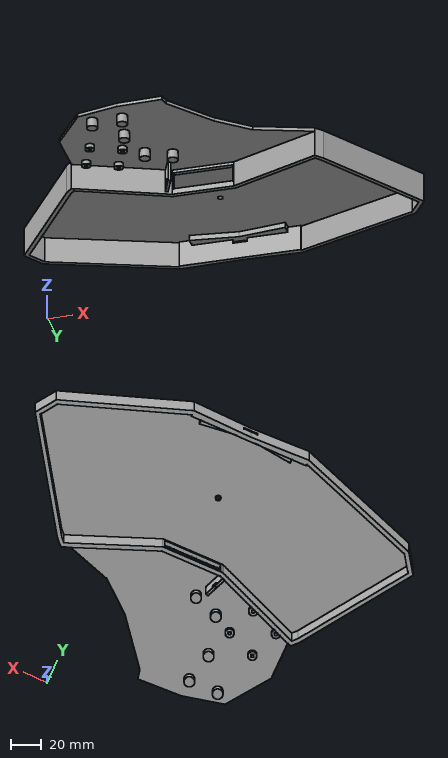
import cadquery as cq
import math

width = 271.8
depth = 187.8
height = 21.0
top_z = height / 2
bottom_z = -height / 2
plate_thickness = 2.7
plate_bottom_z = top_z - plate_thickness
wall_thickness = 3.0

back_corner_y = depth / 2
back_dent_y = 92.7
inner_back_y = back_dent_y - wall_thickness
back_corner = (41.3, back_corner_y)
shoulder_corner = (126.6, 63.5)
side_corner = (width / 2, 50.0)
chamfer_corner = (87.2, -22.3)
front_corner = (82.5, -27.2)
recess_corner = (21.0, -2.5)

overhang_rim = [
    (-front_corner[0], -57.3),
    (-62.2, -86.1),
    (-33.7, -92.7),
    (-3.0, -depth / 2),
    (-1.5, -87.8),
    (22.8, -57.3),
    (44.0, -39.7),
]

pivot_hole_diameter = 3.5
pivot_hole_y = 40.8
window_half_width = 20.0
window_top_z = top_z - 5.0
window_bottom_z = bottom_z + 4.0
port_width = 9.8
port_top_z = top_z - 6.5
port_bottom_z = top_z - 9.0

ledge_half_width = 32.5
ledge_bottom_z = port_top_z
ledge_apex_depth = 2.7
ledge_face_angle = 6.8

wall_angle = math.degrees(
    math.atan2(recess_corner[1] - front_corner[1], front_corner[0] - recess_corner[0])
)

short_boss_diameter = 6.0
short_boss_bottom_z = top_z - 5.7
screw_hole_diameter = 2.1
screw_spacing = 21.5
screw_center = (-58.5, -33.7)

tall_boss_diameter = 7.0
tall_boss_bottom_z = top_z - 9.0
tall_boss_centers = [
    (-54.0, -80.0),
    (-38.0, -59.0),
    (-33.7, -80.0),
    (-31.3, -32.3),
    (-14.0, -25.8),
]

bracket_length = 15.5
bracket_thickness = 1.77
bracket_root_x = -25.0
bracket_bottom_z = bottom_z + 1.5
bracket_hole_diameter = 3.5
bracket_hole_z = bottom_z + 5.0
bracket_embed = 1.4


def mirrored(point):
    return (-point[0], point[1])


def outline_at(points, low_z):
    return cq.Workplane("XY").workplane(offset=low_z).polyline(points).close()


def prism(points, low_z, high_z):
    return outline_at(points, low_z).extrude(high_z - low_z)


def box_between(x_size, low_y, high_y, low_z, high_z):
    """Box centred on X = 0 between the given Y and Z limits."""
    box = cq.Workplane("XY").box(x_size, high_y - low_y, high_z - low_z, centered=(True, False, False))
    return box.translate((0, low_y, low_z))


def cylinder(center, diameter, low_z, high_z):
    disc = cq.Workplane("XY").workplane(offset=low_z).center(*center).circle(diameter / 2)
    return disc.extrude(high_z - low_z)


right_side = [back_corner, shoulder_corner, side_corner, chamfer_corner, front_corner]
left_side = [mirrored(corner) for corner in reversed(right_side)]
back_outline = left_side + [(0, back_dent_y)] + right_side


def cover_plate():
    return prism(back_outline + overhang_rim[::-1], plate_bottom_z, top_z)


def case_walls():
    outline = back_outline + [recess_corner, mirrored(recess_corner)]
    wall_height = plate_bottom_z - bottom_z
    cavity = outline_at(outline, bottom_z).offset2D(-wall_thickness).extrude(wall_height)
    flat_back = box_between(2 * back_corner[0], inner_back_y, back_dent_y, bottom_z, plate_bottom_z)
    return prism(outline, bottom_z, plate_bottom_z).cut(cavity).union(flat_back)


def back_ledge():
    apex_y = inner_back_y - ledge_apex_depth
    end_y = apex_y - ledge_half_width * math.tan(math.radians(ledge_face_angle))
    points = [
        (-ledge_half_width, back_dent_y),
        (-ledge_half_width, end_y),
        (0, apex_y),
        (ledge_half_width, end_y),
        (ledge_half_width, back_dent_y),
    ]
    return prism(points, ledge_bottom_z, plate_bottom_z)


def front_window():
    outer_y = recess_corner[1]
    return box_between(
        2 * window_half_width,
        outer_y - wall_thickness,
        outer_y + 2 * wall_thickness,
        window_bottom_z,
        window_top_z,
    )


def back_port():
    return box_between(port_width, inner_back_y, back_corner[1], port_bottom_z, port_top_z)


def screw_centers():
    half = screw_spacing / 2
    turn = math.radians(wall_angle)
    return [
        (
            screw_center[0] + u * math.cos(turn) - v * math.sin(turn),
            screw_center[1] + u * math.sin(turn) + v * math.cos(turn),
        )
        for u in (-half, half)
        for v in (-half, half)
    ]


def bracket():
    tab_height = plate_bottom_z - bracket_bottom_z
    corner_x, corner_y = mirrored(recess_corner)
    root_y = corner_y + (bracket_root_x - corner_x) * math.tan(math.radians(wall_angle))
    tab = cq.Workplane("XY").box(
        bracket_thickness, bracket_length + bracket_embed, tab_height, centered=False
    )
    tab = tab.translate((0, -bracket_length, bracket_bottom_z))
    hole = cq.Workplane("YZ").center(-bracket_length / 2, bracket_hole_z)
    hole = hole.circle(bracket_hole_diameter / 2).extrude(bracket_thickness)
    return tab.cut(hole).rotate((0, 0, 0), (0, 0, 1), wall_angle).translate((bracket_root_x, root_y, 0))


result = cover_plate().union(case_walls()).union(back_ledge())
result = result.cut(front_window()).cut(back_port()).union(bracket())
for center in tall_boss_centers:
    result = result.union(cylinder(center, tall_boss_diameter, tall_boss_bottom_z, plate_bottom_z))
for center in screw_centers():
    result = result.union(cylinder(center, short_boss_diameter, short_boss_bottom_z, plate_bottom_z))
    result = result.cut(cylinder(center, screw_hole_diameter, bottom_z, top_z))
result = result.cut(cylinder((0, pivot_hole_y), pivot_hole_diameter, bottom_z, top_z))